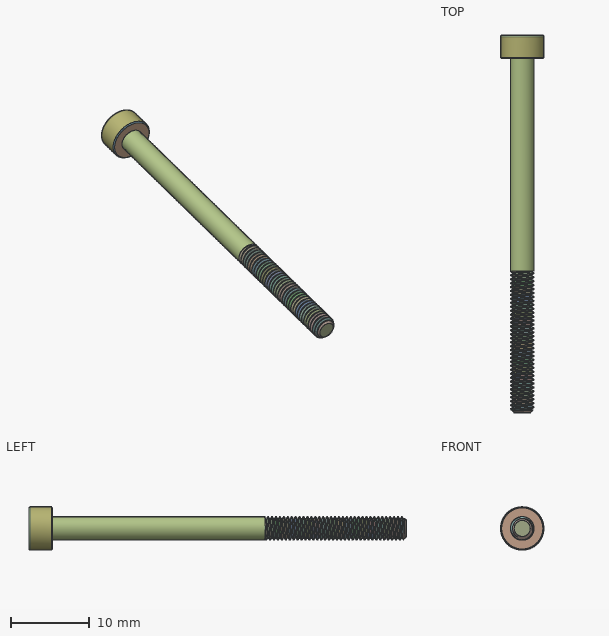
import cadquery as cq
import math

total_length = 48.0
head_diameter = 5.5
head_height = 3.0
head_top_round = 0.25
head_base_chamfer = 0.15
shank_diameter = 3.0

thread_length = 18.0
thread_turns = 36
flank_angle = 30.0
thread_start_angle = 15.0
tip_chamfer = 0.5
pitch = thread_length / thread_turns
crest_width = pitch / 8
root_width = pitch / 4
thread_depth = (pitch - crest_width - root_width) / 2 / math.tan(math.radians(flank_angle))

segment_turns = 2
segment_count = thread_turns // segment_turns
segment_length = segment_turns * pitch
groove_clearance = 0.15

shank_radius = shank_diameter / 2
head_base = total_length - head_height


def cylinder_from(height, diameter, length):
    """Cylinder on the Z axis that starts at the given height above the tip."""
    return cq.Workplane("XY").workplane(offset=height).circle(diameter / 2).extrude(length)


def make_head():
    head = cylinder_from(head_base, head_diameter, head_height)
    head = head.faces(">Z").edges().fillet(head_top_round)
    return head.faces("<Z").edges().chamfer(head_base_chamfer)


def make_groove():
    """Helical cutter that runs one turn past both ends of a thread segment."""
    half_root = root_width / 2
    half_mouth = (pitch - crest_width) / 2
    root_radius = shank_radius - thread_depth
    outer_radius = shank_radius + groove_clearance
    corners = [
        (root_radius, -half_root),
        (shank_radius, -half_mouth),
        (outer_radius, -half_mouth),
        (outer_radius, half_mouth),
        (shank_radius, half_mouth),
        (root_radius, half_root),
    ]

    groove_length = segment_length + 2 * pitch
    helices = [
        cq.Wire.makeHelix(pitch, groove_length, radius).translate(cq.Vector(0, 0, height - pitch))
        for radius, height in corners
    ]
    next_helices = helices[1:] + helices[:1]
    faces = [cq.Face.makeRuledSurface(a, b) for a, b in zip(helices, next_helices)]
    start_points = [helix.startPoint() for helix in helices]
    end_points = [helix.endPoint() for helix in helices]
    for points in (start_points, end_points):
        faces.append(cq.Face.makeFromWires(cq.Wire.makePolygon(points, close=True)))
    groove = cq.Workplane(obj=cq.Solid.makeSolid(cq.Shell.makeShell(faces)))
    return groove.rotate((0, 0, 0), (0, 0, 1), thread_start_angle)


def make_thread_segments():
    """Thread segments from the tip upward, with the first one chamfered."""
    groove = make_groove()
    blank = cylinder_from(0, shank_diameter, segment_length)
    tip_segment = blank.faces("<Z").edges().chamfer(tip_chamfer).cut(groove)
    plain_segment = blank.cut(groove)
    segments = [tip_segment.val()]
    for index in range(1, segment_count):
        offset = cq.Vector(0, 0, index * segment_length)
        segments.append(plain_segment.val().translate(offset))
    return segments


shank = cylinder_from(thread_length, shank_diameter, head_base - thread_length)
screw = make_head().union(shank).val()

screw = screw.fuse(*make_thread_segments(), glue=True).Solids()[0]

screw = cq.Workplane(obj=screw).rotate((0, 0, 0), (1, 0, 0), -90)
result = screw.translate((0, -total_length / 2, 0))